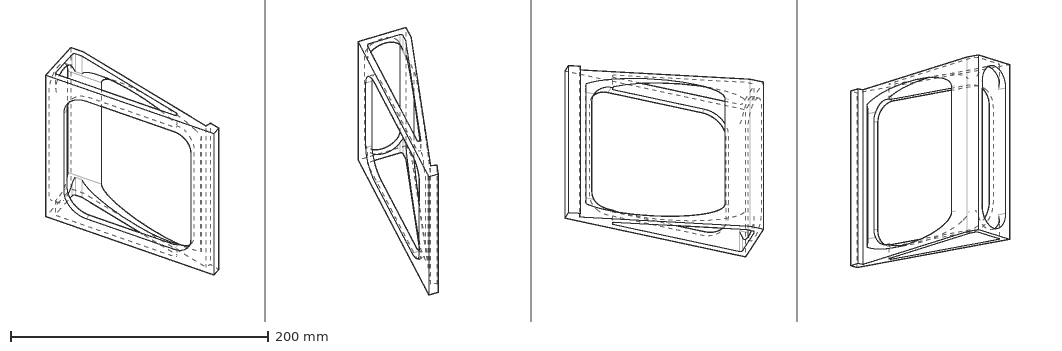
import cadquery as cq
import math

length = 150.0
depth = 40.0
height = 140.0

slope_angle = math.radians(15)
flat_length = 11.2
hook_root_x = 139.8
hook_height = 5.0

wall = 5.2
slope_wall = 4.6
window_end_x = 113.0
window_corner_radius = 2.0
window_tip_radius = 1.0

base_opening_depth = depth / 2
base_left = 16.2
base_right = 129.5
base_margin = 11.8
base_left_radius = 20.0
base_right_radius = 15.0

slot_end_margin = 5.0
slot_width = 29.7
slot_length = 135.0
slot_turn = 90


def slope_y(x, offset=0.0):
    """Y of the sloping outer face at x, moved inward square to the face by offset."""
    return depth - (x - flat_length) * math.tan(slope_angle) - offset / math.cos(slope_angle)


def make_body():
    root_y = slope_y(hook_root_x)
    tip_x = hook_root_x + hook_height * math.sin(slope_angle)
    tip_y = root_y + hook_height * math.cos(slope_angle)
    end_y = tip_y - (length - tip_x) * math.tan(slope_angle)
    outline = [
        (0, 0),
        (length, 0),
        (length, end_y),
        (tip_x, tip_y),
        (hook_root_x, root_y),
        (flat_length, depth),
        (0, depth),
    ]
    return cq.Workplane("XY").polyline(outline).close().extrude(height)


def make_window():
    window_top = depth - wall
    bend_x = (slope_y(0, slope_wall) - window_top) / math.tan(slope_angle)
    outline = [
        (wall, wall),
        (window_end_x, wall),
        (window_end_x, slope_y(window_end_x, slope_wall)),
        (bend_x, window_top),
        (wall, window_top),
    ]
    window = cq.Workplane("XY").polyline(outline).close().extrude(height)
    window = window.edges("|Z and <X").fillet(window_corner_radius)
    return window.edges("|Z and >X").fillet(window_tip_radius)


def make_base_opening():
    opening = cq.Workplane("XY").box(
        base_right - base_left, base_opening_depth, height - 2 * base_margin, centered=False
    )
    opening = opening.translate((base_left, 0, base_margin))
    opening = opening.edges("|Y and <X").fillet(base_left_radius)
    return opening.edges("|Y and >X").fillet(base_right_radius)


def make_slot():
    slot_centre_y = wall + slot_width / 2
    slot_height = height - 2 * slot_end_margin
    return (
        cq.Workplane("YZ")
        .center(slot_centre_y, height / 2)
        .slot2D(slot_height, slot_width, slot_turn)
        .extrude(slot_length)
    )


result = make_body().cut(make_window()).cut(make_base_opening()).cut(make_slot())